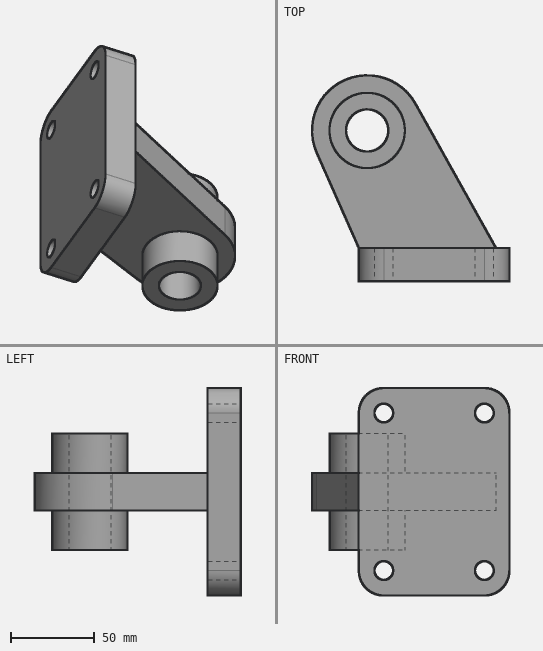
import cadquery as cq
import math

plate_width = 90.0
plate_height = 124.0
plate_thickness = 20.0
corner_radius = 15.0
bolt_diameter = 11.0
bolt_spacing_x = 60.0
bolt_spacing_z = 94.0

arm_thickness = 22.5
arm_end_radius = 33.0
arm_root_left = 0.0
arm_root_right = 82.0
boss_diameter = 45.0
boss_length = 69.6
bore_diameter = 25.0
pivot_x = 5.1
pivot_y = 90.0


def tangent_point(root_x, side):
    """Point where a line from the arm root touches the round end (side: +1 right, -1 left)."""
    dx = root_x - pivot_x
    dy = plate_thickness - pivot_y
    root_angle = math.atan2(dy, dx)
    offset_angle = math.acos(arm_end_radius / math.hypot(dx, dy))
    angle = root_angle + side * offset_angle
    return (
        pivot_x + arm_end_radius * math.cos(angle),
        pivot_y + arm_end_radius * math.sin(angle),
    )


def make_plate():
    plate = (
        cq.Workplane("XY")
        .box(plate_width, plate_thickness, plate_height)
        .edges("|Y")
        .fillet(corner_radius)
    )
    plate = (
        plate.faces("<Y")
        .workplane(centerOption="CenterOfBoundBox")
        .rarray(bolt_spacing_x, bolt_spacing_z, 2, 2)
        .hole(bolt_diameter)
    )
    return plate.translate((plate_width / 2, plate_thickness / 2, 0))


def make_arm():
    return (
        cq.Workplane("XY")
        .moveTo(arm_root_left, plate_thickness)
        .lineTo(arm_root_right, plate_thickness)
        .lineTo(*tangent_point(arm_root_right, 1))
        .threePointArc(
            (pivot_x, pivot_y + arm_end_radius),
            tangent_point(arm_root_left, -1),
        )
        .close()
        .extrude(arm_thickness / 2, both=True)
    )


def pivot_cylinder(diameter):
    return (
        cq.Workplane("XY")
        .center(pivot_x, pivot_y)
        .circle(diameter / 2)
        .extrude(boss_length / 2, both=True)
    )


result = (
    make_plate()
    .union(make_arm())
    .union(pivot_cylinder(boss_diameter))
    .cut(pivot_cylinder(bore_diameter))
)